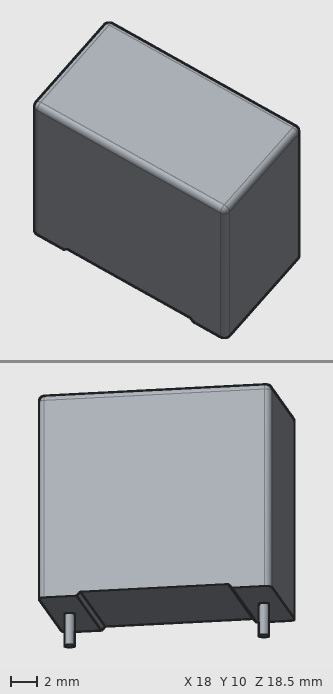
import cadquery as cq

total_height = 18.5
case_length = 18.0
case_width = 10.0
pin_length = 2.5
case_height = total_height - pin_length
edge_radius = 0.5

channel_depth = 0.3
channel_roof_length = 11.4
channel_mouth_length = channel_roof_length + 2 * channel_depth

pin_diameter = 0.8
pin_pitch = 15.0


def make_channel():
    """Trapezoid cutter running through the case along Y, narrowing upwards."""
    half_mouth = channel_mouth_length / 2
    half_roof = channel_roof_length / 2
    return (
        cq.Workplane("XZ")
        .moveTo(-half_mouth, 0)
        .lineTo(-half_roof, channel_depth)
        .lineTo(half_roof, channel_depth)
        .lineTo(half_mouth, 0)
        .close()
        .extrude(case_width / 2, both=True)
    )


def make_case():
    """Block standing on Z = 0 with rounded upright and top edges."""
    block = cq.Workplane("XY").box(case_length, case_width, case_height, centered=(True, True, False))
    rounded = block.edges("|Z or >Z").fillet(edge_radius)
    return rounded.cut(make_channel())


def make_pin(x):
    """Straight pin hanging from the underside of the case."""
    return cq.Workplane("XY").center(x, 0).circle(pin_diameter / 2).extrude(-pin_length)


case = make_case()
pins = [make_pin(side * pin_pitch / 2) for side in (-1, 1)]

result = cq.Compound.makeCompound([case.val(), *[pin.val() for pin in pins]])